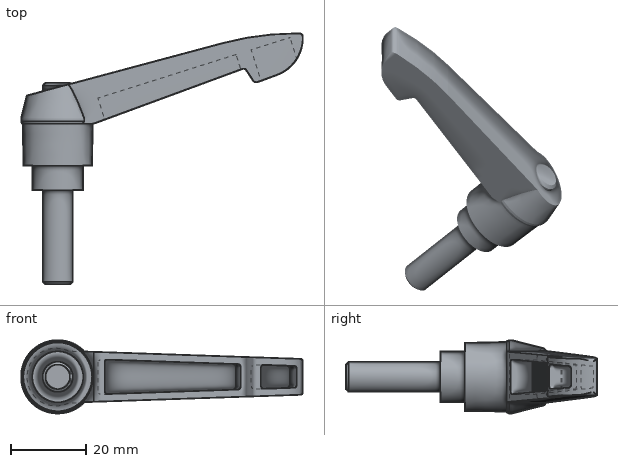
import cadquery as cq
import math


stud_diameter = 8.0
stud_reach = 25.0
stud_top = 28.45
stud_chamfer = 0.75

collar_diameter = 13.5
collar_height = 6.5

sleeve_base_radius = 9.1
sleeve_top_radius = 9.32
sleeve_top = 17.6

rim_radius = 9.745
rim_lower_radius = 9.45
rim_band_bottom = 18.3
rim_band_top = 19.0
hub_cone_angle = 14.3
hub_cone_top = 31.0

back_angle = 15.0
under_angle = 20.2
back_height_at_axis = 27.25
handle_top = 41.55
handle_tip_x = 65.0
underside_start_x = 9.6
notch_x = 49.6
notch_wall_angle = 57.0
hook_x = 52.2

back_bend_radius = 75.0
notch_radius = 0.8
hook_radius = 1.1
tip_radius = 10.6
tip_corner_radius = 1.0

half_width_at_axis = 6.98
side_angle = 1.95
side_corner_radius = 0.8

pocket_angle = 17.5
pocket_floor_at_axis = 21.1
pocket_wall = 2.0
pocket_corner_radius = 0.9
pocket_cut_depth = 12.0
pocket_spans = [(11.1, 49.5), (53.7, 64.5)]


def slope(angle):
    return math.tan(math.radians(angle))


def back_height(x):
    return back_height_at_axis + x * slope(back_angle)


def half_width(x):
    return half_width_at_axis - x * slope(side_angle)


def make_hub():
    cone_top_radius = rim_radius - (hub_cone_top - rim_band_top) * slope(hub_cone_angle)
    body = (
        cq.Workplane("XY")
        .moveTo(0, 0)
        .lineTo(collar_diameter / 2, 0)
        .lineTo(collar_diameter / 2, collar_height)
        .lineTo(sleeve_base_radius, collar_height)
        .lineTo(sleeve_top_radius, sleeve_top)
        .lineTo(rim_lower_radius, sleeve_top)
        .lineTo(rim_radius, rim_band_bottom)
        .lineTo(rim_radius, rim_band_top)
        .lineTo(cone_top_radius, hub_cone_top)
        .lineTo(0, hub_cone_top)
        .close()
        .revolve(360, (0, 0, 0), (0, 1, 0))
    )
    reach = 2 * rim_radius
    above_back = (
        cq.Workplane("XY")
        .moveTo(-reach, back_height(-reach))
        .lineTo(reach, back_height(reach))
        .lineTo(reach, 2 * hub_cone_top)
        .lineTo(-reach, 2 * hub_cone_top)
        .close()
        .extrude(reach, both=True)
    )
    return body.cut(above_back)


def make_stud():
    return (
        cq.Workplane("XZ", origin=(0, stud_top, 0))
        .circle(stud_diameter / 2)
        .extrude(stud_top + stud_reach)
        .edges()
        .chamfer(stud_chamfer)
    )


def make_handle():
    notch_y = sleeve_top + (notch_x - underside_start_x) * slope(under_angle)
    hook_y = notch_y - (hook_x - notch_x) * slope(notch_wall_angle)
    tip_y = hook_y + (handle_tip_x - hook_x) * slope(under_angle)
    bend_x = (handle_top - back_height_at_axis) / slope(back_angle)

    start = (0, sleeve_top)
    underside_start = (underside_start_x, sleeve_top)
    notch = (notch_x, notch_y)
    hook = (hook_x, hook_y)
    tip_bottom = (handle_tip_x, tip_y)
    tip_top = (handle_tip_x, handle_top)
    bend = (bend_x, handle_top)
    back_start = (0, back_height_at_axis)

    outline = [start, underside_start, notch, hook, tip_bottom, tip_top, bend, back_start]
    profile = cq.Workplane("XY").polyline(outline).close().extrude(half_width_at_axis, both=True)
    rounded_corners = [
        (notch, notch_radius),
        (hook, hook_radius),
        (bend, back_bend_radius),
        (tip_bottom, tip_radius),
        (tip_top, tip_corner_radius),
    ]
    for (x, y), radius in rounded_corners:
        corner = cq.selectors.NearestToPointSelector((x, y, 0))
        profile = profile.edges(corner).fillet(radius)

    tip_half_width = half_width(handle_tip_x)
    plan = (
        cq.Workplane("XZ")
        .moveTo(0, -half_width_at_axis)
        .lineTo(handle_tip_x, -tip_half_width)
        .lineTo(handle_tip_x, tip_half_width)
        .lineTo(0, half_width_at_axis)
        .close()
        .extrude(-2 * handle_top)
        .edges("|Y and >X")
        .fillet(side_corner_radius)
    )
    return profile.intersect(plan)


def make_pocket(start, end):
    along = math.cos(math.radians(pocket_angle))
    rise = math.sin(math.radians(pocket_angle))
    floor = cq.Plane(
        origin=(0, pocket_floor_at_axis, 0),
        xDir=(along, rise, 0),
        normal=(rise, -along, 0),
    )
    start_half = half_width(start * along) - pocket_wall
    end_half = half_width(end * along) - pocket_wall
    outline = [(start, -start_half), (end, -end_half), (end, end_half), (start, start_half)]
    return (
        cq.Workplane(floor)
        .polyline(outline)
        .close()
        .extrude(pocket_cut_depth)
        .edges(cq.selectors.ParallelDirSelector(floor.zDir))
        .fillet(pocket_corner_radius)
    )


handle = make_handle()
for pocket_start, pocket_end in pocket_spans:
    handle = handle.cut(make_pocket(pocket_start, pocket_end))

result = make_hub().union(handle).union(make_stud())